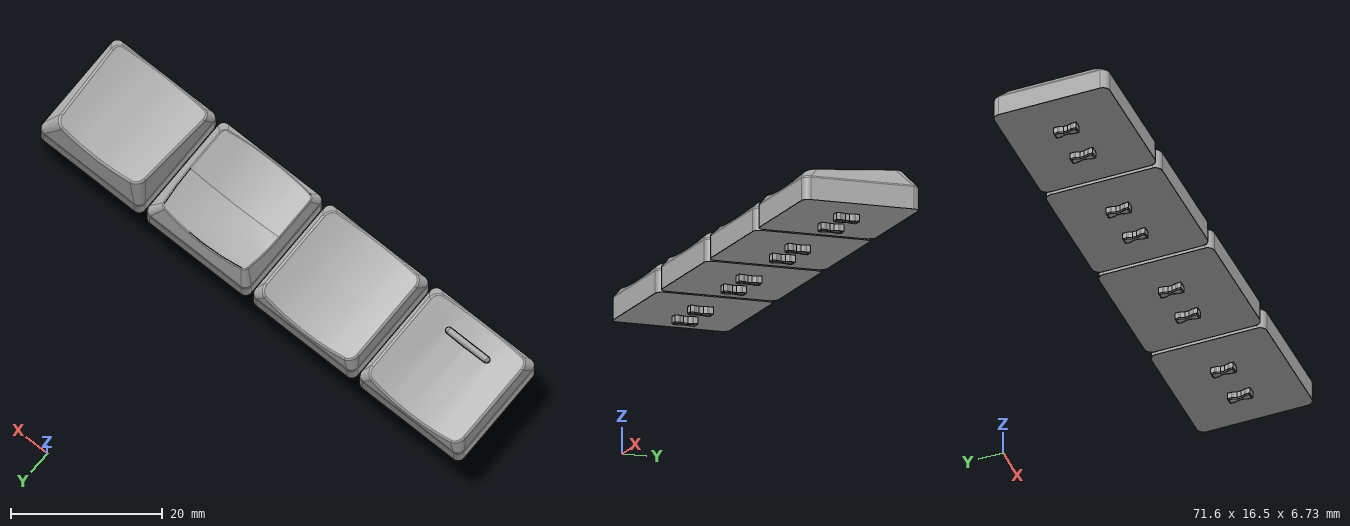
import math

import cadquery as cq

OVERALL_WIDTH = 71.6
CAP_COUNT = 4
PITCH = 18.05
CAP_WIDTH = OVERALL_WIDTH - (CAP_COUNT - 1) * PITCH
CAP_DEPTH = 16.5

SKIRT_HEIGHT = 3.15
SKIRT_CORNER_RADIUS = 1.0
SHOULDER_RADIUS = 0.35

LOW_CROWN_HEIGHT = 1.35
LOW_CROWN_INSET = 0.9
CURLED_CROWN_HEIGHT = 2.0
CURLED_CROWN_INSET = 1.85
WEDGE_CROWN_HEIGHT = 2.65
WEDGE_CROWN_INSET = 1.7
WIDE_CORNER_RADIUS = 1.6
TIGHT_CORNER_RADIUS = 0.65

DISH_RADIUS = 37.2
DISH_FLOOR = 3.6
CURL_RADIUS = 30.8
WEDGE_FLOOR = 4.4
WEDGE_TILT = 6.0
CUTTER_HEIGHT = 5.7
RIM_FILLET = 0.35
CURLED_RIM_FILLET = 0.2

BAR_RADIUS = 0.5
BAR_STRAIGHT = 6.4
BAR_Y = -4.3
BAR_AXIS_Z = DISH_FLOOR

LEG_LENGTH = 1.1
LEG_SPACING = 5.7
LEG_WIDTH = 1.1
LEG_DEPTH = 3.2
LEG_CHAMFER = 0.15
GROOVE_MOUTH = 1.85
GROOVE_FLOOR = 0.6
GROOVE_DEPTH = 0.2
GROOVE_LIP_RADIUS = 0.65

SHOULDER_MARGIN = 0.1
RIM_MARGIN = 0.3
CREASE_MARGIN = 0.15
LIP_MARGIN = 0.1


def rounded_rectangle(z, inset, corner_radius):
    """Rounded cap outline at height z, pulled in by inset on every side."""
    return (
        cq.Sketch()
        .rect(CAP_WIDTH - 2 * inset, CAP_DEPTH - 2 * inset)
        .vertices()
        .fillet(corner_radius)
        .moved(cq.Location(cq.Vector(0, 0, z)))
    )


def is_shoulder_edge(edge):
    """True for the level edges where the skirt meets the crown."""
    box = edge.BoundingBox()
    return box.zmin > SKIRT_HEIGHT - SHOULDER_MARGIN and box.zmax < SKIRT_HEIGHT + SHOULDER_MARGIN


def is_rim_edge(edge):
    """True for edges around the dish, not for the line across it or the crown corner edges."""
    box = edge.BoundingBox()
    return box.zmin > SKIRT_HEIGHT + RIM_MARGIN and box.ylen > CREASE_MARGIN


def is_lip_edge(edge):
    """True for the upright edges at the mouths of the leg grooves."""
    center = edge.Center()
    return abs(abs(center.y) - GROOVE_MOUTH / 2) < LIP_MARGIN


def cap_blank(crown_height, crown_inset, crown_corner_radius):
    """Straight skirt under a tapered crown, with a softened shoulder."""
    base = rounded_rectangle(0, 0, SKIRT_CORNER_RADIUS)
    crown_base = rounded_rectangle(SKIRT_HEIGHT, 0, SKIRT_CORNER_RADIUS)
    crown_top = rounded_rectangle(SKIRT_HEIGHT + crown_height, crown_inset, crown_corner_radius)
    skirt = cq.Workplane().placeSketch(base).extrude(SKIRT_HEIGHT)
    crown = cq.Workplane().placeSketch(crown_base, crown_top).loft(ruled=True)
    return skirt.union(crown).edges().filter(is_shoulder_edge).fillet(SHOULDER_RADIUS)


def dish_profile():
    """Region above a shallow arc across X, lowest at the origin, in the mid plane."""
    arc_rise = DISH_RADIUS - math.sqrt(DISH_RADIUS**2 - CAP_WIDTH**2 / 4)
    return (
        cq.Workplane("XZ")
        .moveTo(-CAP_WIDTH / 2, arc_rise)
        .threePointArc((0, 0), (CAP_WIDTH / 2, arc_rise))
        .lineTo(CAP_WIDTH / 2, CUTTER_HEIGHT)
        .lineTo(-CAP_WIDTH / 2, CUTTER_HEIGHT)
        .close()
    )


def straight_dish(floor, tilt=0.0):
    """Cutter for a trough along Y, tilted up to the back about its mid line."""
    trough = dish_profile().extrude(CAP_DEPTH, both=True)
    return trough.rotate((0, 0, 0), (1, 0, 0), tilt).translate((0, 0, floor))


def curled_dish(floor):
    """Cutter for a trough that is level in front and curves up behind the mid line."""
    reach = CAP_DEPTH / 2
    curl_rise = CURL_RADIUS - math.sqrt(CURL_RADIUS**2 - reach**2)
    path = cq.Workplane("YZ").radiusArc((reach, curl_rise), -CURL_RADIUS)
    front = dish_profile().extrude(reach)
    back = dish_profile().sweep(path)
    return front.union(back).translate((0, 0, floor))


def dished_cap(blank, dish, rim_fillet):
    """Cap blank cut by a dish, with the rim rounded."""
    return blank.cut(dish).edges().filter(is_rim_edge).fillet(rim_fillet)


def homing_bar():
    """Round-ended bar lying along X, half sunk into the dish."""
    bar = (
        cq.Workplane("YZ", origin=(-BAR_STRAIGHT / 2, BAR_Y, BAR_AXIS_Z))
        .circle(BAR_RADIUS)
        .extrude(BAR_STRAIGHT)
    )
    for x in (-BAR_STRAIGHT / 2, BAR_STRAIGHT / 2):
        bar = bar.union(cq.Workplane().sphere(BAR_RADIUS).translate((x, BAR_Y, BAR_AXIS_Z)))
    return bar


def leg():
    """Flat leg below the cap, waisted by a round-lipped groove on each wide side."""
    post = cq.Workplane().rect(LEG_WIDTH, LEG_DEPTH).extrude(-LEG_LENGTH)
    groove = (
        cq.Workplane()
        .moveTo(LEG_WIDTH / 2, -GROOVE_MOUTH / 2)
        .lineTo(LEG_WIDTH / 2 - GROOVE_DEPTH, -GROOVE_FLOOR / 2)
        .lineTo(LEG_WIDTH / 2 - GROOVE_DEPTH, GROOVE_FLOOR / 2)
        .lineTo(LEG_WIDTH / 2, GROOVE_MOUTH / 2)
        .close()
        .extrude(-LEG_LENGTH)
    )
    post = post.cut(groove).cut(groove.mirror("YZ"))
    post = post.edges("|Z").filter(is_lip_edge).fillet(GROOVE_LIP_RADIUS)
    return post.faces("<Z").chamfer(LEG_CHAMFER)


def with_legs(cap):
    """Cap joined to its pair of legs."""
    for x in (-LEG_SPACING / 2, LEG_SPACING / 2):
        cap = cap.union(leg().translate((x, 0, 0)))
    return cap


def low_cap():
    """Low cap with a level dish."""
    blank = cap_blank(LOW_CROWN_HEIGHT, LOW_CROWN_INSET, WIDE_CORNER_RADIUS)
    return dished_cap(blank, straight_dish(DISH_FLOOR), RIM_FILLET)


def homing_keycap():
    """Low keycap carrying the homing bar."""
    return with_legs(low_cap().union(homing_bar()))


def plain_keycap():
    """Low keycap with a bare dish."""
    return with_legs(low_cap())


def curled_keycap():
    """Keycap whose dish curves up over its back half."""
    blank = cap_blank(CURLED_CROWN_HEIGHT, CURLED_CROWN_INSET, TIGHT_CORNER_RADIUS)
    return with_legs(dished_cap(blank, curled_dish(DISH_FLOOR), CURLED_RIM_FILLET))


def wedge_keycap():
    """Keycap whose whole dish tilts up to the back."""
    blank = cap_blank(WEDGE_CROWN_HEIGHT, WEDGE_CROWN_INSET, WIDE_CORNER_RADIUS)
    return with_legs(dished_cap(blank, straight_dish(WEDGE_FLOOR, WEDGE_TILT), RIM_FILLET))


def in_row(keycap, index):
    """Keycap moved to its place in the row, counted from the -X end."""
    return keycap.translate(((index - (CAP_COUNT - 1) / 2) * PITCH, 0, 0))


homing = in_row(homing_keycap(), 0)
plain = in_row(plain_keycap(), 1)
curled = in_row(curled_keycap(), 2)
wedge = in_row(wedge_keycap(), 3)

result = cq.Compound.makeCompound(
    [
        *homing.solids().vals(),
        *plain.solids().vals(),
        *curled.solids().vals(),
        *wedge.solids().vals(),
    ]
)